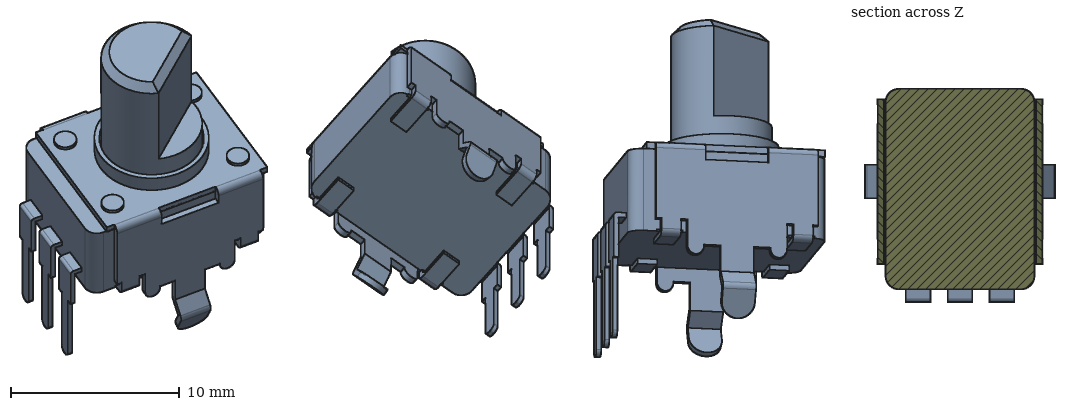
import cadquery as cq
import math


OVERALL_HEIGHT = 19.75

HOUSING_WIDTH = 8.85
HOUSING_FRONT = -6.4
HOUSING_BACK = 5.51
HOUSING_HEIGHT = 5.0
HOUSING_CORNER_RADIUS = 0.8
RELIEF_LENGTH = 1.56
RELIEF_SIZE = 0.12

SHEET = 0.4
COVER_HALF_WIDTH = 4.9
COVER_INNER = COVER_HALF_WIDTH - SHEET
COVER_TOP = HOUSING_HEIGHT + SHEET
PLATE_LENGTH = 10.78
WALL_LENGTH = 9.8
WALL_BOTTOM = 0.7
WINDOW_LENGTH = 3.81
WINDOW_HEIGHT = 1.0
BUSHING_RADIUS = 3.4
BUSHING_HEIGHT = 1.0
BORE_RADIUS = 3.1
RIVET_RADIUS = 0.67
RIVET_HEIGHT = 0.2
RIVET_X = 3.0
RIVET_Y = 4.2

TAB_WIDTH = 1.18
TAB_Y = 3.99
TAB_THICKNESS = 0.32
TAB_END_X = 2.5

LUG_RADIUS = 0.5
LUG_Y = 2.5
LUG_BOTTOM = -1.4
APRON_BOTTOM = -0.8
LEG_WIDTH = 2.0
LEG_SPAN = 11.28
LEG_BEND_Z = -3.42
LEG_OUTWARD_ANGLE = math.radians(40)
LEG_INWARD_ANGLE = math.radians(25)
LEG_TIP_STRAIGHT = 0.8

SHAFT_RADIUS = 3.0
SHAFT_TOP = 13.6
SHAFT_CHAMFER = 0.5
FLAT_OFFSET = 1.5
FLAT_LENGTH = 6.0
FLAT_ANGLE = 40

TERMINAL_COUNT = 3
TERMINAL_PITCH = 2.49
TERMINAL_THICKNESS = 0.3
TERMINAL_FRONT = -7.15
TERMINAL_TOP = 1.32
TERMINAL_BEND_RADIUS = 0.2
PAD_WIDTH = 1.48
PAD_BOTTOM = -1.38
PIN_WIDTH = 0.8
PIN_BOTTOM = SHAFT_TOP - OVERALL_HEIGHT
PIN_TIP_RADIUS = 0.38


def box(x_range, y_range, z_range):
    """Box between the given pairs of limits."""
    (x0, x1), (y0, y1), (z0, z1) = x_range, y_range, z_range
    return cq.Workplane("XY").box(x1 - x0, y1 - y0, z1 - z0, centered=False).translate((x0, y0, z0))


def centred_box(width, y_centre, length, z_range):
    """Box centred on x = 0 and on the given y."""
    y_range = (y_centre - length / 2, y_centre + length / 2)
    return box((-width / 2, width / 2), y_range, z_range)


def across(profile, length, y_centre):
    """Extrude a closed XZ profile along Y, centred on the given y."""
    return profile.extrude(length / 2, both=True).translate((0, y_centre, 0))


def make_housing():
    length = HOUSING_BACK - HOUSING_FRONT
    y_centre = (HOUSING_BACK + HOUSING_FRONT) / 2
    housing = centred_box(HOUSING_WIDTH, y_centre, length, (0, HOUSING_HEIGHT))
    housing = housing.edges("|Z").fillet(HOUSING_CORNER_RADIUS)
    edge = HOUSING_WIDTH / 2
    for side in (-1, 1):
        corner = [(side * edge, 0), (side * edge, RELIEF_SIZE), (side * (edge - RELIEF_SIZE), 0)]
        for tab_y in (-TAB_Y, TAB_Y):
            relief = cq.Workplane("XZ").polyline(corner).close()
            housing = housing.cut(across(relief, RELIEF_LENGTH, tab_y))
    return housing


def make_wall():
    """Wall on the +X side, its top edge rounded into the plate, with a window below the plate."""
    bend = SHEET * math.sqrt(0.5)
    profile = (
        cq.Workplane("XZ")
        .moveTo(COVER_INNER, WALL_BOTTOM)
        .lineTo(COVER_HALF_WIDTH, WALL_BOTTOM)
        .lineTo(COVER_HALF_WIDTH, HOUSING_HEIGHT)
        .threePointArc((COVER_INNER + bend, HOUSING_HEIGHT + bend), (COVER_INNER, COVER_TOP))
        .close()
    )
    window = box(
        (COVER_INNER, COVER_HALF_WIDTH),
        (-WINDOW_LENGTH / 2, WINDOW_LENGTH / 2),
        (COVER_TOP - WINDOW_HEIGHT, COVER_TOP),
    )
    return across(profile, WALL_LENGTH, 0).cut(window)


def make_apron():
    """Lower part of the +X wall between and including its two lugs."""
    half_length = LUG_Y + LUG_RADIUS
    x_range = (COVER_INNER, COVER_HALF_WIDTH)
    apron = box(x_range, (-half_length, half_length), (APRON_BOTTOM, WALL_BOTTOM))
    lug_centre_z = LUG_BOTTOM + LUG_RADIUS
    for y in (-LUG_Y, LUG_Y):
        lug = (
            cq.Workplane("YZ", origin=(COVER_INNER, y, lug_centre_z))
            .circle(LUG_RADIUS)
            .extrude(SHEET)
        )
        neck = box(x_range, (y - LUG_RADIUS, y + LUG_RADIUS), (lug_centre_z, WALL_BOTTOM))
        apron = apron.union(neck).union(lug)
    return apron


def make_tab(y_centre):
    """Tab of the +X wall folded under the housing, its inner corner filled up to the relief."""
    fill_start = HOUSING_WIDTH / 2 - RELIEF_SIZE
    bend = SHEET * math.sqrt(0.5)
    bend_z = SHEET - TAB_THICKNESS
    profile = (
        cq.Workplane("XZ")
        .moveTo(COVER_INNER, WALL_BOTTOM)
        .lineTo(COVER_HALF_WIDTH, WALL_BOTTOM)
        .lineTo(COVER_HALF_WIDTH, bend_z)
        .threePointArc((COVER_INNER + bend, bend_z - bend), (COVER_INNER, -TAB_THICKNESS))
        .lineTo(TAB_END_X, -TAB_THICKNESS)
        .lineTo(TAB_END_X, 0)
        .lineTo(fill_start, 0)
        .lineTo(COVER_INNER, COVER_INNER - fill_start)
        .close()
    )
    return across(profile, TAB_WIDTH, y_centre)


def make_leg():
    """Snap-in leg of the +X wall: bent outward, then back inward to a round tip."""
    bend_x = LEG_SPAN / 2 - SHEET
    sin_in = math.sin(LEG_INWARD_ANGLE)
    cos_in = math.cos(LEG_INWARD_ANGLE)
    arc_start = (
        bend_x + SHEET * math.cos(LEG_OUTWARD_ANGLE),
        LEG_BEND_Z + SHEET * math.sin(LEG_OUTWARD_ANGLE),
    )
    arc_end = (bend_x + SHEET * cos_in, LEG_BEND_Z - SHEET * sin_in)
    slope = 1 / math.tan(LEG_OUTWARD_ANGLE)
    outer_knee_z = arc_start[1] + (arc_start[0] - COVER_HALF_WIDTH) * slope
    inner_knee_z = LEG_BEND_Z + (bend_x - COVER_INNER) * slope
    tip_shift = (-LEG_TIP_STRAIGHT * sin_in, -LEG_TIP_STRAIGHT * cos_in)
    tip_inner = (bend_x + tip_shift[0], LEG_BEND_Z + tip_shift[1])
    tip_outer = (arc_end[0] + tip_shift[0], arc_end[1] + tip_shift[1])
    profile = (
        cq.Workplane("XZ")
        .moveTo(COVER_INNER, APRON_BOTTOM)
        .lineTo(COVER_HALF_WIDTH, APRON_BOTTOM)
        .lineTo(COVER_HALF_WIDTH, outer_knee_z)
        .lineTo(*arc_start)
        .threePointArc((LEG_SPAN / 2, LEG_BEND_Z), arc_end)
        .lineTo(*tip_outer)
        .lineTo(*tip_inner)
        .lineTo(bend_x, LEG_BEND_Z)
        .lineTo(COVER_INNER, inner_knee_z)
        .close()
    )
    tip_plane = cq.Plane(
        origin=(tip_inner[0], 0, tip_inner[1]), xDir=(0, 1, 0), normal=(cos_in, 0, -sin_in)
    )
    half_width = LEG_WIDTH / 2
    tip = (
        cq.Workplane(tip_plane)
        .moveTo(-half_width, 0)
        .threePointArc((0, -half_width), (half_width, 0))
        .close()
        .extrude(SHEET)
    )
    return across(profile, LEG_WIDTH, 0).union(tip)


def make_cover():
    plate = centred_box(2 * COVER_INNER, 0, PLATE_LENGTH, (HOUSING_HEIGHT, COVER_TOP))
    on_top = cq.Workplane("XY", origin=(0, 0, COVER_TOP))
    bushing = on_top.circle(BUSHING_RADIUS).extrude(BUSHING_HEIGHT)
    rivets = on_top.rarray(2 * RIVET_X, 2 * RIVET_Y, 2, 2).circle(RIVET_RADIUS).extrude(RIVET_HEIGHT)
    side = make_wall().union(make_apron()).union(make_leg())
    for y_centre in (-TAB_Y, TAB_Y):
        side = side.union(make_tab(y_centre))
    cover = plate.union(bushing).union(rivets).union(side).union(side.mirror("YZ"))
    bore = (
        cq.Workplane("XY", origin=(0, 0, HOUSING_HEIGHT))
        .circle(BORE_RADIUS)
        .extrude(SHEET + BUSHING_HEIGHT)
    )
    return cover.cut(bore)


def make_shaft():
    """D-shaft standing on the housing, its flat turned towards +X and +Y."""
    shaft = (
        cq.Workplane("XY", origin=(0, 0, HOUSING_HEIGHT))
        .circle(SHAFT_RADIUS)
        .extrude(SHAFT_TOP - HOUSING_HEIGHT)
    )
    flat = box(
        (FLAT_OFFSET, SHAFT_RADIUS),
        (-SHAFT_RADIUS, SHAFT_RADIUS),
        (SHAFT_TOP - FLAT_LENGTH, SHAFT_TOP),
    )
    shaft = shaft.cut(flat).faces(">Z").chamfer(SHAFT_CHAMFER)
    return shaft.rotate((0, 0, 0), (0, 0, 1), FLAT_ANGLE)


def make_terminal(x_centre):
    """Terminal leaving the front of the housing and bent down into a pad and a narrower pin."""
    y_blade = (TERMINAL_FRONT, TERMINAL_FRONT + TERMINAL_THICKNESS)
    half_pad = PAD_WIDTH / 2
    half_pin = PIN_WIDTH / 2
    foot = box(
        (-half_pad, half_pad),
        (TERMINAL_FRONT, HOUSING_FRONT),
        (TERMINAL_TOP - TERMINAL_THICKNESS, TERMINAL_TOP),
    )
    pad = box((-half_pad, half_pad), y_blade, (PAD_BOTTOM, TERMINAL_TOP))
    bent = foot.union(pad).edges("|X and >Z and <Y").fillet(TERMINAL_BEND_RADIUS)
    pin = box((-half_pin, half_pin), y_blade, (PIN_BOTTOM, PAD_BOTTOM))
    pin = pin.edges("|Y and <Z").fillet(PIN_TIP_RADIUS)
    return bent.union(pin).translate((x_centre, 0, 0))


housing = make_housing()
cover = make_cover()
shaft = make_shaft()
terminals = []
for index in range(TERMINAL_COUNT):
    offset = index - (TERMINAL_COUNT - 1) / 2
    terminals.append(make_terminal(offset * TERMINAL_PITCH).val())

result = cq.Compound.makeCompound([housing.val(), cover.val(), shaft.val(), *terminals])